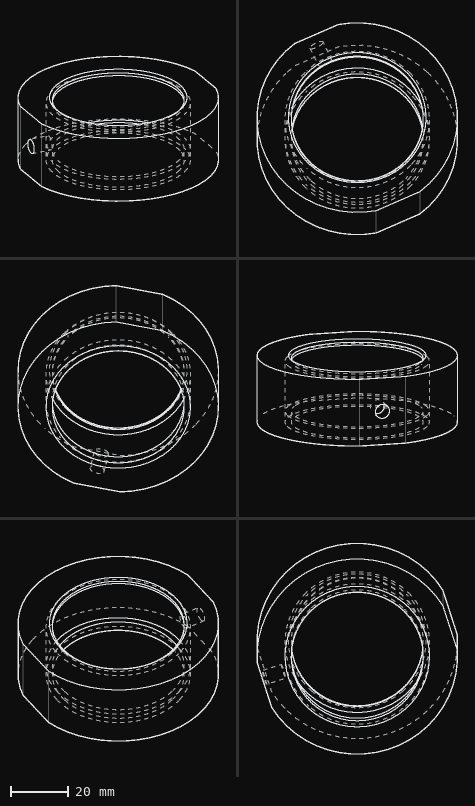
import cadquery as cq

outer_diameter = 70.0
width_across_flats = 68.0
height = 24.0

lip_radius = 23.0
lip_thickness = 2.0
lip_chamfer = 1.0
bore_radius = 25.2

retainer_thickness = 4.0

hole_diameter = 5.05
hole_depth = 7.0


def make_stepped_bore():
    """Solid of revolution that opens the housing from bottom to top."""
    step_height = height - lip_thickness
    profile = [
        (0, 0),
        (bore_radius, 0),
        (bore_radius, step_height),
        (lip_radius, step_height),
        (lip_radius, height - lip_chamfer),
        (lip_radius + lip_chamfer, height),
        (0, height),
    ]
    return cq.Workplane("XZ").polyline(profile).close().revolve(360, (0, 0), (0, 1))


def make_blind_hole():
    """Flat-bottomed cylinder running inward from the -Y flat."""
    flat_y = -width_across_flats / 2
    return (
        cq.Workplane("XZ", origin=(0, flat_y, height / 2))
        .circle(hole_diameter / 2)
        .extrude(-hole_depth)
    )


def make_housing():
    """Ring with two parallel flats, a stepped bore and a blind radial hole."""
    blank = cq.Workplane("XY").circle(outer_diameter / 2).extrude(height)
    between_flats = cq.Workplane("XY").rect(outer_diameter, width_across_flats).extrude(height)
    return blank.intersect(between_flats).cut(make_stepped_bore()).cut(make_blind_hole())


def make_retainer():
    """Plain ring flush with the bottom face, with the same opening as the lip."""
    return cq.Workplane("XY").circle(bore_radius).circle(lip_radius).extrude(retainer_thickness)


housing = make_housing()
retainer = make_retainer()

result = cq.Compound.makeCompound([housing.val(), retainer.val()])